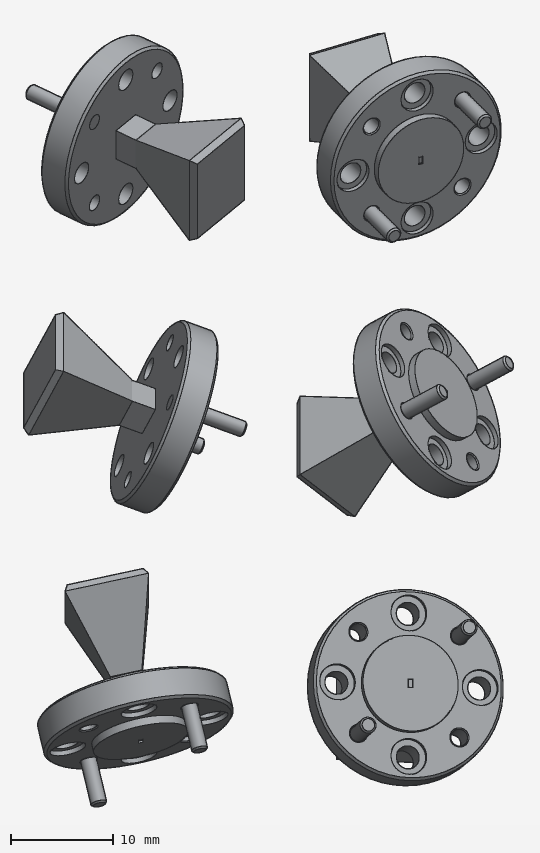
import cadquery as cq
import math


flange_diameter = 19.05
flange_thickness = 3.3
flange_chamfer = 0.25
boss_diameter = 9.53
boss_height = 0.8

slot_width = 0.45
slot_height = 0.83
slot_depth = 0.2

bolt_count = 4
bolt_circle_radius = 7.15
bolt_hole_diameter = 2.29
counterbore_diameter = 3.57
counterbore_depth = 0.5

dowel_offset = 5.06
dowel_hole_diameter = 1.67
dowel_hole_chamfer = 0.12
pin_diameter = 1.6
pin_hole_chamfer = 0.1
pin_projection = 4.67
pin_tip_chamfer = 0.18
pin_places = [(-dowel_offset, dowel_offset), (dowel_offset, -dowel_offset)]
dowel_hole_places = [(dowel_offset, dowel_offset), (-dowel_offset, -dowel_offset)]

neck_size = (3.17, 3.55)
flare_size = (8.4, 10.0)
mouth_size = (7.65, 9.34)
neck_length = 2.46
flare_length = 8.55
overall_length = 19.7
lip_length = overall_length - pin_projection - flange_thickness - neck_length - flare_length


def cylinder(diameter, start_x, length, place=(0, 0)):
    """Cylinder along +X, centred on a (Y, Z) place."""
    return (
        cq.Workplane("YZ", origin=(start_x, *place))
        .circle(diameter / 2)
        .extrude(length)
    )


def chamfered_hole(diameter, chamfer, place):
    """Cutter for a through hole with a 45 degree chamfer at the front face."""
    drill = cylinder(diameter, 0, flange_thickness, place)
    countersink = (
        cq.Workplane("YZ", origin=(0, *place))
        .circle(diameter / 2 + chamfer)
        .workplane(offset=chamfer)
        .circle(diameter / 2)
        .loft(ruled=True)
    )
    return drill.union(countersink)


def bolt_hole(place):
    """Cutter for a through hole with a counterbore at the front face."""
    drill = cylinder(bolt_hole_diameter, 0, flange_thickness, place)
    return drill.union(cylinder(counterbore_diameter, 0, counterbore_depth, place))


def make_flange():
    disc = cylinder(flange_diameter, 0, flange_thickness).edges().chamfer(flange_chamfer)
    body = disc.union(cylinder(boss_diameter, -boss_height, boss_height))

    slot = (
        cq.Workplane("YZ", origin=(-boss_height, 0, 0))
        .rect(slot_width, slot_height)
        .extrude(slot_depth)
    )
    body = body.cut(slot)

    for index in range(bolt_count):
        angle = 2 * math.pi * index / bolt_count
        place = (bolt_circle_radius * math.cos(angle), bolt_circle_radius * math.sin(angle))
        body = body.cut(bolt_hole(place))

    for place in dowel_hole_places:
        body = body.cut(chamfered_hole(dowel_hole_diameter, dowel_hole_chamfer, place))
    for place in pin_places:
        body = body.cut(chamfered_hole(pin_diameter, pin_hole_chamfer, place))
    return body


def make_pin(place):
    """Pin filling its flange hole, with a chamfered free end."""
    pin = cylinder(pin_diameter, -pin_projection, pin_projection + flange_thickness, place)
    return pin.faces("<X").chamfer(pin_tip_chamfer)


def tapered_block(start_x, length, start_size, end_size):
    """Rectangular frustum along +X."""
    return (
        cq.Workplane("YZ", origin=(start_x, 0, 0))
        .rect(*start_size)
        .workplane(offset=length)
        .rect(*end_size)
        .loft(ruled=True)
    )


def make_horn():
    flare_start = flange_thickness + neck_length
    lip_start = flare_start + flare_length
    neck = (
        cq.Workplane("YZ", origin=(flange_thickness, 0, 0))
        .rect(*neck_size)
        .extrude(neck_length)
    )
    flare = tapered_block(flare_start, flare_length, neck_size, flare_size)
    lip = tapered_block(lip_start, lip_length, flare_size, mouth_size)
    return neck.union(flare).union(lip)


flange = make_flange()
horn = make_horn()
pins = [make_pin(place) for place in pin_places]

result = cq.Compound.makeCompound([flange.val(), horn.val(), *[pin.val() for pin in pins]])